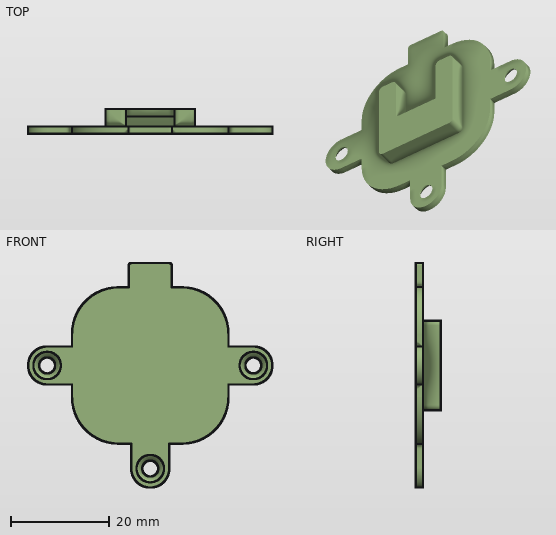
import cadquery as cq

PLATE_THICKNESS = 1.5
BODY_SIZE = 31.9
BODY_CORNER_RADIUS = 9.5

EAR_RADIUS = 3.9
EAR_HOLE_OFFSET = 21.0
HOLE_DIAMETER = 3.2
COUNTERSINK_DIAMETER = 5.6
COUNTERSINK_ANGLE = 90.0
EAR_DIRECTIONS = [(1, 0), (-1, 0), (0, -1)]

TAB_WIDTH = 8.8
TAB_TOP = 20.9
TAB_CORNER_RADIUS = 0.6

BOSS_SIZE = 18.3
BOSS_HEIGHT = 3.6
BOSS_CORNER_RADIUS = 1.0
NOTCH_WIDTH = 9.9
NOTCH_LENGTH = 9.9
NOTCH_MOUTH_RADIUS = 1.0
RAMP_SIZE = 2.0

BOSS_TOP = PLATE_THICKNESS + BOSS_HEIGHT


def prism(x_size, z_size, y_start, y_end, z_center=0.0):
    """Rectangular block centred on x = 0."""
    block = cq.Workplane("XY").box(x_size, y_end - y_start, z_size)
    return block.translate((0, (y_start + y_end) / 2, z_center))


def make_ear(direction):
    """Round-ended ear reaching from the plate centre past its screw hole."""
    dx, dz = direction
    hole_x = dx * EAR_HOLE_OFFSET
    hole_z = dz * EAR_HOLE_OFFSET
    x_size = abs(hole_x) or 2 * EAR_RADIUS
    z_size = abs(hole_z) or 2 * EAR_RADIUS
    arm = prism(x_size, z_size, 0, PLATE_THICKNESS).translate((hole_x / 2, 0, hole_z / 2))
    tip = cq.Workplane("XZ").center(hole_x, hole_z).circle(EAR_RADIUS).extrude(-PLATE_THICKNESS)
    return arm.union(tip)


def make_plate():
    """Rounded square plate with the tab, the ears and their countersunk holes."""
    plate = prism(BODY_SIZE, BODY_SIZE, 0, PLATE_THICKNESS).edges("|Y").fillet(BODY_CORNER_RADIUS)
    tab = prism(TAB_WIDTH, TAB_TOP, 0, PLATE_THICKNESS, TAB_TOP / 2)
    plate = plate.union(tab.edges("|Y and >Z").fillet(TAB_CORNER_RADIUS))
    for direction in EAR_DIRECTIONS:
        plate = plate.union(make_ear(direction))
    hole_centers = [(dx * EAR_HOLE_OFFSET, dz * EAR_HOLE_OFFSET) for dx, dz in EAR_DIRECTIONS]
    outer_face = plate.faces("<Y").workplane(origin=(0, 0, 0))
    return outer_face.pushPoints(hole_centers).cskHole(HOLE_DIAMETER, COUNTERSINK_DIAMETER, COUNTERSINK_ANGLE)


def make_boss():
    """Square boss with a rounded-mouth notch that ends in a ramp and an upright wall."""
    boss = prism(BOSS_SIZE, BOSS_SIZE, PLATE_THICKNESS, BOSS_TOP)
    boss = boss.edges("|Y").fillet(BOSS_CORNER_RADIUS)
    mouth_z = BOSS_SIZE / 2
    back_z = mouth_z - NOTCH_LENGTH
    notch = prism(NOTCH_WIDTH, NOTCH_LENGTH, PLATE_THICKNESS, BOSS_TOP, (mouth_z + back_z) / 2)
    half_width = NOTCH_WIDTH / 2
    boss = boss.cut(notch)
    for mouth_x in (-half_width, half_width):
        mouth_corner = cq.selectors.NearestToPointSelector((mouth_x, BOSS_TOP - BOSS_HEIGHT / 2, mouth_z))
        boss = boss.edges("|Y").edges(mouth_corner).fillet(NOTCH_MOUTH_RADIUS)
    ramp_profile = [
        (PLATE_THICKNESS, back_z),
        (PLATE_THICKNESS + RAMP_SIZE, back_z),
        (PLATE_THICKNESS, back_z + RAMP_SIZE),
    ]
    ramp = cq.Workplane("YZ").polyline(ramp_profile).close().extrude(half_width, both=True)
    return boss.union(ramp)


result = make_plate().union(make_boss())